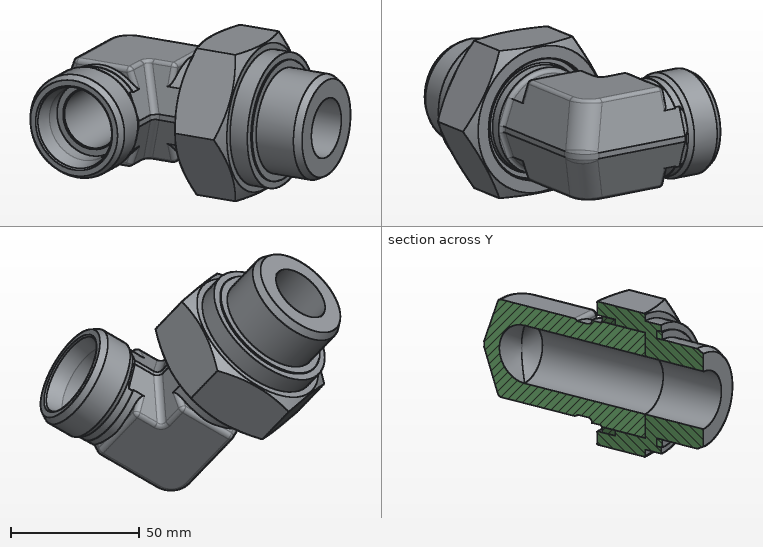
import cadquery as cq
import math


half_height = 20.49
side_reach = 19.6
side_strip = 2.4
side_slope = 20
outer_bend_radius = 9.6
inner_bend_radius = 2.7
block_edge_radius = 2.0
block_end = 25.8
neck_diameter = 39.3
neck_start = 21.4
joint_margin = 0.2
bore_diameter = 24.0
drill_tip_length = 9.4

port_diameter = 42.0
port_end = 47.9
port_root_diameter = 39.6
port_root_start = 29.0
port_shoulder = 32.3
port_flare_length = 1.3
port_flare_angle = 30
port_chamfer_angle = 30
port_end_diameter = 39.0
seat_mouth_diameter = 34.2
seat_diameter = 33.0
tube_diameter = 30.2
tube_depth = 13.5
seat_half_angle = 12
bore_mouth_chamfer = 0.4

collar_start = 32.3
collar_diameter = 43.0
collar_fillet = 1.8
shank_diameter = 44.3

hex_flats = 60.0
hex_start = 34.8
hex_end = 58.0
hex_face_diameter = 59.1
hex_chamfer_angle = 30
recess_diameter = 48.4
recess_mouth_diameter = 49.2
flange_diameter = 53.9
flange_end = 65.7
stud_diameter = 42.0
stud_end_diameter = 39.0
stud_end = 107 - port_diameter / 2
stud_chamfer_length = 3.0

lock_ring_start = 37.1
lock_ring_length = 6.4
seal_diameter = 48.2
seal_length = 2.8
seal_projection = 0.6

hex_corner_radius = hex_flats / math.sqrt(3)
shank_end = hex_end
lock_ring_end = lock_ring_start + lock_ring_length
seal_end = flange_end + seal_projection
seal_start = seal_end - seal_length


def turned(points):
    """Solid of revolution about X from a closed outline of (x, radius) points."""
    return cq.Workplane("XY").polyline(points).close().revolve(360, (0, 0, 0), (1, 0, 0))


def cylinder(diameter, start, end):
    """Cylinder along X between two stations."""
    return cq.Workplane("YZ").workplane(offset=start).circle(diameter / 2).extrude(end - start)


def to_port(shape):
    """Swing a shape built along +X onto the port axis along -Y."""
    return shape.rotate((0, 0, 0), (0, 0, 1), -90)


def leg_section(x):
    """Block cross-section on the YZ plane at x: flat top and bottom, sides sloping to a strip."""
    strip = side_strip / 2
    top_reach = side_reach - (half_height - strip) * math.tan(math.radians(side_slope))
    return cq.Workplane("YZ").workplane(offset=x).polyline([
        (top_reach, half_height),
        (side_reach, strip),
        (side_reach, -strip),
        (top_reach, -half_height),
        (-top_reach, -half_height),
        (-side_reach, -strip),
        (-side_reach, strip),
        (-top_reach, half_height),
    ]).close()


def bend_edges(block, side):
    """Mitre edges of the bend: side = 1 for the outside, -1 for the inside."""
    near = side * 0.75 * side_reach
    far = side * 1.02 * side_reach
    corner = cq.selectors.BoxSelector((-near, near, -half_height), (-far, far, half_height))
    return block.edges(corner)


def make_block():
    """Bent block whose rounded ends stop short of the collar and the port."""
    path = cq.Workplane("XY").moveTo(block_end, 0).lineTo(0, 0).lineTo(0, -block_end)
    block = leg_section(block_end).sweep(path, transition="right")
    block = bend_edges(block, 1).fillet(outer_bend_radius)
    block = bend_edges(block, -1).edges("|Z").fillet(inner_bend_radius)
    block = bend_edges(block, -1).fillet(inner_bend_radius)
    return block.faces("|Z or >X or <Y").edges().fillet(block_edge_radius)


def make_neck(end):
    """Core of a leg: the block section trimmed to the round neck."""
    length = end - neck_start
    return leg_section(neck_start).extrude(length).intersect(cylinder(neck_diameter, neck_start, end))


def make_swivel_leg():
    """Neck, collar and the thicker shank that turns inside the adapter."""
    collar = collar_diameter / 2
    shank = shank_diameter / 2
    flare_start = lock_ring_start - (shank - collar)
    flange = turned([
        (collar_start, 0),
        (collar_start, collar),
        (flare_start, collar),
        (lock_ring_start, shank),
        (shank_end, shank),
        (shank_end, 0),
    ])
    reach = neck_diameter / 2 + joint_margin
    joint = cq.selectors.BoxSelector(
        (collar_start - joint_margin, -reach, -reach),
        (collar_start + joint_margin, reach, reach),
        boundingbox=True,
    )
    return make_neck(collar_start).union(flange).edges(joint).fillet(collar_fillet)


def make_port_leg():
    """Neck and threaded port, chamfered at both ends."""
    root = port_root_diameter / 2
    port = port_diameter / 2
    tip = port_end_diameter / 2
    slope = math.tan(math.radians(port_chamfer_angle))
    flange = turned([
        (port_shoulder, 0),
        (port_shoulder, root),
        (port_shoulder + (port - root) / slope, port),
        (port_end - (port - tip) / slope, port),
        (port_end, tip),
        (port_end, 0),
    ])
    root_length = port_shoulder - port_root_start
    flare_start = port_shoulder - port_flare_length
    sides = leg_section(port_root_start).extrude(root_length)
    flare = leg_section(flare_start).extrude(port_flare_length, taper=-port_flare_angle)
    root_land = cylinder(port_root_diameter, port_root_start, port_shoulder).intersect(sides.union(flare))
    return to_port(make_neck(port_shoulder).union(root_land).union(flange))


def make_bore(end):
    """Blind drilled bore along X with its cone tip beyond the bend."""
    radius = bore_diameter / 2
    return turned([(-drill_tip_length, 0), (0, radius), (end, radius), (end, 0)])


def make_tube_seat():
    """Tube socket of the port: mouth chamfer, seat cone, tube bore and chamfered stop."""
    mouth = seat_mouth_diameter / 2
    seat = seat_diameter / 2
    tube = tube_diameter / 2
    bore = bore_diameter / 2
    seat_start = port_end - (mouth - seat)
    seat_end = seat_start - (seat - tube) / math.tan(math.radians(seat_half_angle))
    tube_stop = port_end - tube_depth
    return to_port(turned([
        (port_end, 0),
        (port_end, mouth),
        (seat_start, seat),
        (seat_end, tube),
        (tube_stop, tube),
        (tube_stop, bore + bore_mouth_chamfer),
        (tube_stop - bore_mouth_chamfer, bore),
        (tube_stop - bore_mouth_chamfer, 0),
    ]))


def make_elbow():
    elbow = make_block().union(make_swivel_leg()).union(make_port_leg())
    return elbow.cut(make_bore(shank_end)).cut(to_port(make_bore(port_end))).cut(make_tube_seat())


def make_hexagon():
    """Hexagon with corners on +Y and -Y, chamfered on both faces."""
    length = hex_end - hex_start
    blank = (
        cq.Workplane("YZ").workplane(offset=hex_start)
        .polygon(6, 2 * hex_corner_radius).extrude(length)
    )
    face = hex_face_diameter / 2
    chamfer = (hex_corner_radius - face) * math.tan(math.radians(hex_chamfer_angle))
    envelope = turned([
        (hex_start, 0),
        (hex_start, face),
        (hex_start + chamfer, hex_corner_radius),
        (hex_end - chamfer, hex_corner_radius),
        (hex_end, face),
        (hex_end, 0),
    ])
    return blank.intersect(envelope)


def make_stud():
    """Sealing flange and stud with a tapered tip."""
    stud = stud_diameter / 2
    return turned([
        (hex_end, 0),
        (hex_end, flange_diameter / 2),
        (flange_end, flange_diameter / 2),
        (flange_end, stud),
        (stud_end - stud_chamfer_length, stud),
        (stud_end, stud_end_diameter / 2),
        (stud_end, 0),
    ])


def make_swivel_socket():
    """Stepped hole for lock ring, shank and bore."""
    mouth = recess_mouth_diameter / 2
    recess = recess_diameter / 2
    shank = shank_diameter / 2
    bore = bore_diameter / 2
    return turned([
        (hex_start, 0),
        (hex_start, mouth),
        (hex_start + mouth - recess, recess),
        (lock_ring_end, recess),
        (lock_ring_end, shank),
        (shank_end, shank),
        (shank_end, bore),
        (stud_end, bore),
        (stud_end, 0),
    ])


def make_ring(outside, inside, start, end):
    return cylinder(outside, start, end).cut(cylinder(inside, start, end))


def make_lock_ring():
    return make_ring(recess_diameter, shank_diameter, lock_ring_start, lock_ring_end)


def make_seal_ring():
    return make_ring(seal_diameter, stud_diameter, seal_start, seal_end)


def make_adapter():
    adapter = make_hexagon().union(make_stud()).cut(make_swivel_socket())
    return adapter.cut(make_seal_ring())


elbow = make_elbow()
adapter = make_adapter()
lock_ring = make_lock_ring()
seal_ring = make_seal_ring()

result = cq.Compound.makeCompound([elbow.val(), adapter.val(), lock_ring.val(), seal_ring.val()])